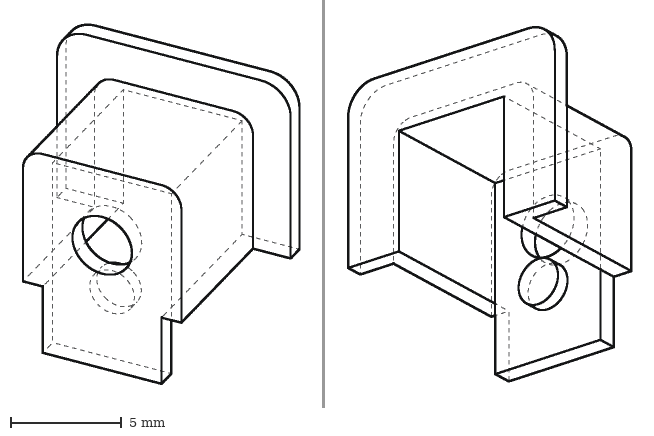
import cadquery as cq

flange_width = 11.8
flange_height = 9.0
flange_thickness = 0.9
flange_corner_radius = 1.5

total_depth = 8.1
wall = 1.0
body_width = 8.0
body_height = 7.0
body_corner_radius = 1.0
cavity_width = body_width - 2 * wall
cavity_height = body_height - wall

tab_width = cavity_width
tab_drop = 3.5

hole_diameter = 3.0
hole_height = 3.0
pin_diameter = 2.25
pin_length = 0.7


def standing_block(width, bottom, top, front, back):
    """Block centred on X, between the given Z and Y limits."""
    return cq.Workplane("XY").box(
        width, back - front, top - bottom, centered=(True, False, False)
    ).translate((0, front, bottom))


def cylinder_along_y(diameter, height, front, length):
    """Cylinder centred on X at the given height, running towards +Y."""
    axis_start = cq.Vector(0, front, height)
    cylinder = cq.Solid.makeCylinder(diameter / 2, length, axis_start, cq.Vector(0, 1, 0))
    return cq.Workplane(obj=cylinder)


def make_flange():
    block = standing_block(flange_width, 0, flange_height, total_depth - flange_thickness, total_depth)
    return block.edges("|Y and >Z").fillet(flange_corner_radius)


def make_body():
    block = standing_block(body_width, 0, body_height, 0, total_depth)
    return block.edges("|Y and >Z").fillet(body_corner_radius)


cavity = standing_block(cavity_width, 0, cavity_height, wall, total_depth)
tab = standing_block(tab_width, -tab_drop, 0, 0, wall)
hole = cylinder_along_y(hole_diameter, hole_height, 0, wall)

pin = cylinder_along_y(pin_diameter, 0, wall / 2, wall / 2 + pin_length)

result = make_flange().union(make_body()).cut(cavity).union(tab).union(pin).cut(hole)